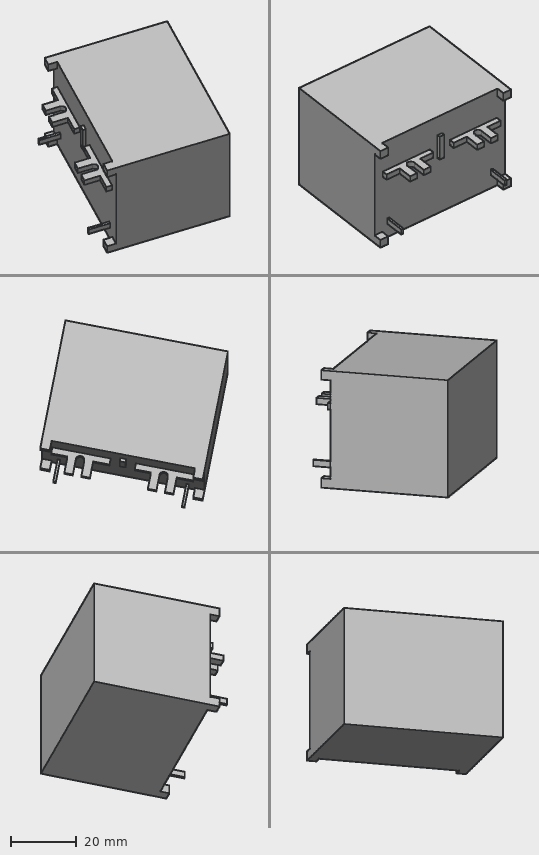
import cadquery as cq

width = 50.5
height = 37.0
total_depth = 44.5
pin_length = 7.0
body_depth = total_depth - pin_length

foot_size = 3.0
foot_length = 2.95

rib_width = 1.8
rib_height = 8.8
rib_length = 1.0
rib_center_z = 7.05

terminal_offset_x = 13.0
terminal_z = 6.4
terminal_thickness = 2.0
base_width = 18.15
base_length = 1.85
prong_width = 2.7
slot_width = 2.65
slot_end_length = 0.95
fork_width = 2 * prong_width + slot_width

coil_pin_offset_x = 20.0
coil_pin_z = -12.25
coil_pin_width = 0.8
coil_pin_height = 2.0


def face_block(x, z, size_x, size_z, length):
    """Block centered at (x, z) that stands out from the mounting face (y = 0)."""
    return cq.Workplane("XY").box(size_x, length, size_z).translate((x, -length / 2, z))


def terminal(side):
    """Flat base bar with a two-prong fork split by a round-ended slot."""
    x = side * terminal_offset_x
    bar = face_block(x, terminal_z, base_width, terminal_thickness, base_length)
    fork = face_block(x, terminal_z, fork_width, terminal_thickness, pin_length)
    radius = slot_width / 2
    arc_center_y = -slot_end_length - radius
    slot = (
        cq.Workplane("XY")
        .workplane(offset=terminal_z - terminal_thickness / 2)
        .moveTo(x - radius, -pin_length)
        .lineTo(x - radius, arc_center_y)
        .threePointArc((x, -slot_end_length), (x + radius, arc_center_y))
        .lineTo(x + radius, -pin_length)
        .close()
        .extrude(terminal_thickness)
    )
    return bar.union(fork).cut(slot)


result = cq.Workplane("XY").box(width, body_depth, height).translate((0, body_depth / 2, 0))
result = result.union(face_block(0, rib_center_z, rib_width, rib_height, rib_length))

for side in (-1, 1):
    foot_x = side * (width - foot_size) / 2
    for level in (-1, 1):
        foot_z = level * (height - foot_size) / 2
        result = result.union(face_block(foot_x, foot_z, foot_size, foot_size, foot_length))
    result = result.union(terminal(side))
    result = result.union(
        face_block(side * coil_pin_offset_x, coil_pin_z, coil_pin_width, coil_pin_height, pin_length)
    )